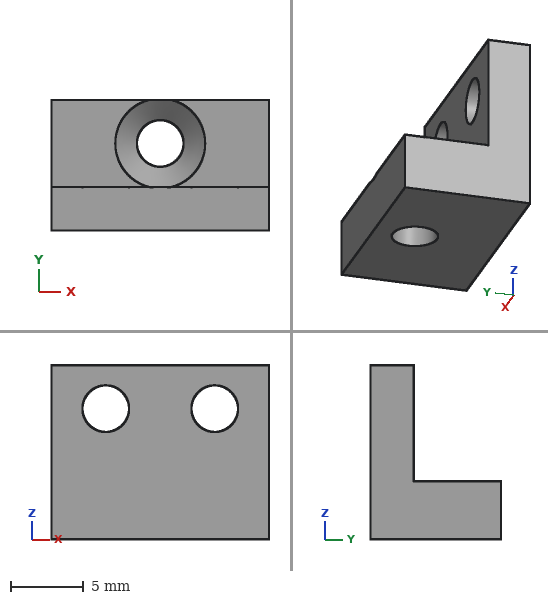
import cadquery as cq

width = 15.0
depth = 9.0
height = 12.0

wall_thickness = 3.0
base_height = 4.0

hole_diameter = 3.2
wall_hole_spacing = width / 2
wall_hole_drop = 3.0
countersink_diameter = 6.2
countersink_angle = 90.0


def bracket_body():
    """L-shaped body with its upright wall along the front face (Y = 0)."""
    base = cq.Workplane("XY").box(width, depth, base_height, centered=(True, False, False))
    wall = cq.Workplane("XY").box(width, wall_thickness, height, centered=(True, False, False))
    return base.union(wall)


def drill_wall(body):
    """Cut the pair of plain holes through the upright wall."""
    hole_z = height - wall_hole_drop
    drills = (
        cq.Workplane("XZ")
        .pushPoints([(side * wall_hole_spacing / 2, hole_z) for side in (-1, 1)])
        .circle(hole_diameter / 2)
        .extrude(-wall_thickness)
    )
    return body.cut(drills)


def drill_base(body):
    """Cut the countersunk hole in the middle of the exposed base."""
    hole_y = (wall_thickness + depth) / 2
    return (
        body.faces(cq.selectors.NearestToPointSelector((0, hole_y, base_height)))
        .workplane(origin=(0, hole_y, base_height))
        .cskHole(hole_diameter, countersink_diameter, countersink_angle)
    )


result = drill_base(drill_wall(bracket_body()))